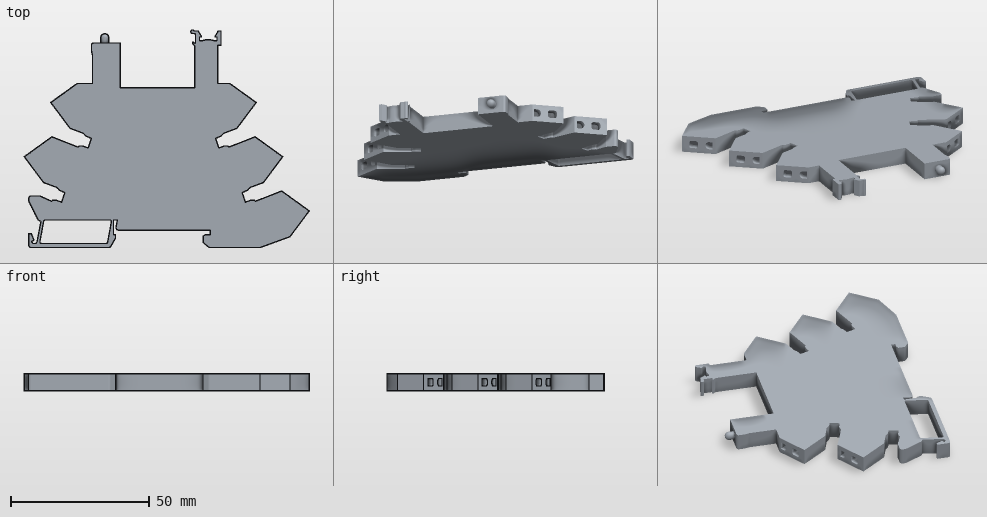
import cadquery as cq
import math

LENGTH = 103.0
THICKNESS = 6.2
MID_Z = THICKNESS / 2

STEP_X = 9.6
STEP_Y = 19.6
LOW_TIP_Y = 13.3
MIDDLE_TIP_X = (LENGTH - STEP_X) / 2
SLOPE_RUN = 10.0
SLOPE_RISE = 7.2
SLOPE_ANGLE = math.atan2(SLOPE_RISE, SLOPE_RUN)
LEFT = -1
RIGHT = 1
ARMS = [(RIGHT, 0), (RIGHT, 1), (RIGHT, 2), (LEFT, 0), (LEFT, 1)]

CHIN = (7.0, -9.4)
SLOT_UNDER_ARM = [
    CHIN,
    (11.7, -11.1),
    (12.8, -12.2),
    (14.6, -13.0),
    (13.5, -16.4),
    (11.5, -15.7),
    (10.3, -15.7),
    (9.9, -16.1),
]

SHOULDER_Y = 59.3
RECESS_Y = 57.8
LEFT_POST_X = (-22.0, -11.9)
LEFT_POST_TOP = 74.0
BULGE = 0.4
BULGE_BOTTOM = 69.4
BULGE_FLAT_BOTTOM = 71.9
POST_CORNER_RADIUS = 0.8
RIGHT_POST_X = (14.8, 23.3)
RIGHT_POST_TOP = 73.0

PIN_X = -17.6
PIN_DIAMETER = 3.0
PIN_LENGTH = 1.9

CLIP_X = 19.8
CLIP_HALF_WIDTH = 4.6
CLIP_TOP = 78.3
CLIP_FLOOR_Y = 74.8
CLIP_FLOOR_HALF = 3.1
LIP_HALF = 2.5
LIP_Y = (76.0, 76.4)
MOUTH_HALF = 3.6
CROWN_HALF = 2.1
CROWN_Y = 75.2
BEAD_DIAMETER = 1.3
BEAD_X = CLIP_X - 5.7
BEAD_Y = 77.4 + BEAD_DIAMETER / 2
BEAD_ARM_THICKNESS = 0.9
BEAD_ARM_RADIUS = 0.5
BARB = [(15.3, 73.7), (14.1, 74.4), (14.1, 73.7), (14.8, 72.9), (15.3, 72.9)]

RAIL_Y = 6.3
FRAME_TOP = 10.0
FLOOR_THICKNESS = 1.5
FOOT_LEFT = -45.1
WING_TOP = 18.7
WING_RADIUS = 1.0
FOOT_RADIUS = 1.0
FOOT_CORNER = (FOOT_LEFT, 0)
TOE_CORNER = (-15.7, 0)
HOOK_CORNER = (20.1, 0)
RAIL_CORNER = (-13.8, RAIL_Y)
WINDOW_RADIUS = 0.5

OPENING_HEIGHT = 2.8
OPENING_DEPTH = 3.1
WIRE_START = 2.6
WIRE_LENGTH = 3.3
WIRE_CORNER_RADIUS = 0.8
SCREW_START = 8.5
SCREW_LENGTH = 2.7


def tip(side, row):
    """Tip of an arm; row 0 is the top row."""
    x = MIDDLE_TIP_X + (row - 1) * STEP_X
    return side * x, LOW_TIP_Y + (2 - row) * STEP_Y


def from_tip(side, row, offset):
    x, y = tip(side, row)
    return x - side * offset[0], y + offset[1]


def slot_below(side, row):
    return [from_tip(side, row, offset) for offset in SLOT_UNDER_ARM]


def peak(side, row):
    return from_tip(side, row, (SLOPE_RUN, SLOPE_RISE))


def shoulder(side):
    rise = SHOULDER_Y - tip(side, 0)[1]
    return from_tip(side, 0, (rise * SLOPE_RUN / SLOPE_RISE, rise))


def plate(outline):
    return outline.close().extrude(THICKNESS)


def polygon(points):
    return plate(cq.Workplane("XY").polyline(points))


def round_corners(solid, corners, radius):
    """Round the upright edges that stand on the given XY points."""
    for x, y in corners:
        solid = solid.edges(cq.selectors.NearestToPointSelector((x, y, MID_Z))).fillet(radius)
    return solid


def make_body():
    right_edge = [
        shoulder(RIGHT),
        tip(RIGHT, 0),
        *slot_below(RIGHT, 0),
        peak(RIGHT, 1),
        tip(RIGHT, 1),
        *slot_below(RIGHT, 1),
        peak(RIGHT, 2),
        tip(RIGHT, 2),
        from_tip(RIGHT, 2, CHIN),
    ]
    rail_edge = [
        (38.5, 0),
        HOOK_CORNER,
        (17.9, 1.9),
        (17.9, 4.2),
        (18.8, 4.7),
        (20.5, 4.7),
        (20.5, RAIL_Y),
        RAIL_CORNER,
        (-13.1, FRAME_TOP),
    ]
    wing_edge = [(-41.7, FRAME_TOP), (FOOT_LEFT, 16.8), (FOOT_LEFT, WING_TOP - WING_RADIUS)]
    left_edge = [
        (-41.1, WING_TOP),
        *reversed(slot_below(LEFT, 1)),
        tip(LEFT, 1),
        peak(LEFT, 1),
        *reversed(slot_below(LEFT, 0)),
        tip(LEFT, 0),
        shoulder(LEFT),
    ]
    top_edge = [
        (LEFT_POST_X[0], SHOULDER_Y),
        (LEFT_POST_X[0], RECESS_Y),
        (RIGHT_POST_X[1], RECESS_Y),
        (RIGHT_POST_X[1], SHOULDER_Y),
    ]
    outline = (
        cq.Workplane("XY")
        .polyline(right_edge + rail_edge + wing_edge)
        .tangentArcPoint((FOOT_LEFT + WING_RADIUS, WING_TOP), relative=False)
        .polyline(left_edge + top_edge, includeCurrent=True)
    )
    return round_corners(plate(outline), [HOOK_CORNER, RAIL_CORNER], FOOT_RADIUS)


def make_left_post():
    inner_x = LEFT_POST_X[1]
    left_x = LEFT_POST_X[0]
    bulge_x = left_x - BULGE
    outline = (
        cq.Workplane("XY")
        .moveTo(left_x, RECESS_Y)
        .lineTo(inner_x, RECESS_Y)
        .lineTo(inner_x, LEFT_POST_TOP)
        .lineTo(bulge_x + POST_CORNER_RADIUS, LEFT_POST_TOP)
        .tangentArcPoint((bulge_x, LEFT_POST_TOP - POST_CORNER_RADIUS), relative=False)
        .lineTo(bulge_x, BULGE_FLAT_BOTTOM)
        .tangentArcPoint((left_x, BULGE_BOTTOM), relative=False)
    )
    return plate(outline)


def make_pin():
    """Pin with a hemispherical end, rooted inside the post."""
    radius = PIN_DIAMETER / 2
    root_y = LEFT_POST_TOP - radius
    dome_y = LEFT_POST_TOP + PIN_LENGTH
    profile = (
        cq.Workplane("XY", origin=(PIN_X, 0, MID_Z))
        .moveTo(0, root_y)
        .lineTo(-radius, root_y)
        .lineTo(-radius, dome_y)
        .radiusArc((0, dome_y + radius), radius)
        .close()
    )
    return profile.revolve(360, (0, 0), (0, 1))


def make_right_post():
    left_x, right_x = RIGHT_POST_X
    height = RIGHT_POST_TOP - RECESS_Y
    base = cq.Workplane("XY", origin=(left_x, RECESS_Y, 0))
    return base.box(right_x - left_x, height, THICKNESS, centered=False)


def make_clip():
    def jaw(side):
        offsets = [
            (CROWN_HALF, CLIP_FLOOR_Y),
            (CLIP_FLOOR_HALF, CLIP_FLOOR_Y),
            (CLIP_FLOOR_HALF, LIP_Y[0]),
            (LIP_HALF, LIP_Y[0]),
            (LIP_HALF, LIP_Y[1]),
            (MOUTH_HALF, CLIP_TOP),
            (CLIP_HALF_WIDTH, CLIP_TOP),
            (CLIP_HALF_WIDTH, RIGHT_POST_TOP),
        ]
        return [(CLIP_X + side * x, y) for x, y in offsets]

    outline = (
        cq.Workplane("XY")
        .polyline(list(reversed(jaw(LEFT))))
        .threePointArc((CLIP_X, CROWN_Y), (CLIP_X + CROWN_HALF, CLIP_FLOOR_Y))
        .polyline(jaw(RIGHT)[1:], includeCurrent=True)
    )
    bead = cq.Workplane("XY").center(BEAD_X, BEAD_Y).circle(BEAD_DIAMETER / 2).extrude(THICKNESS)
    arm_length = CLIP_X - CLIP_HALF_WIDTH - BEAD_X
    arm_base = cq.Workplane("XY", origin=(BEAD_X, CLIP_TOP - BEAD_ARM_THICKNESS, 0))
    bead_arm = arm_base.box(arm_length, BEAD_ARM_THICKNESS, THICKNESS, centered=False)
    barb = polygon(BARB)
    clip = plate(outline).union(bead_arm)
    inner_corner = (CLIP_X - CLIP_HALF_WIDTH, CLIP_TOP - BEAD_ARM_THICKNESS)
    clip = round_corners(clip, [inner_corner], BEAD_ARM_RADIUS)
    return clip.union(bead).union(barb)


def make_foot():
    """Hollow latch frame hanging under the left half of the body."""
    frame = polygon([
        (-41.7, FRAME_TOP),
        (-40.7, 9.5),
        (-42.1, 2.1),
        (-42.5, FLOOR_THICKNESS),
        (-43.6, FLOOR_THICKNESS),
        (-44.0, 2.2),
        (-43.2, 2.8),
        (-44.1, 5.0),
        (FOOT_LEFT, 5.0),
        FOOT_CORNER,
        TOE_CORNER,
        (-13.7, 3.4),
        (-13.7, 4.7),
        (-14.4, 4.7),
        (-14.4, FRAME_TOP),
    ])
    frame = round_corners(frame, [FOOT_CORNER, TOE_CORNER], FOOT_RADIUS)
    window_corners = [
        (-39.6, FRAME_TOP),
        (-41.1, FLOOR_THICKNESS),
        (-16.7, FLOOR_THICKNESS),
        (-15.1, FRAME_TOP),
    ]
    window = round_corners(polygon(window_corners), window_corners, WINDOW_RADIUS)
    return frame.cut(window)


def terminal_openings(side, row):
    """Wire and screw pockets cut square into the sloped upper face of an arm."""
    x, y = tip(side, row)
    face = cq.Plane(
        origin=(x, y, MID_Z),
        xDir=(-side * math.cos(SLOPE_ANGLE), math.sin(SLOPE_ANGLE), 0),
        normal=(side * math.sin(SLOPE_ANGLE), math.cos(SLOPE_ANGLE), 0),
    )
    wire_shape = cq.Sketch().rect(WIRE_LENGTH, OPENING_HEIGHT).vertices().fillet(WIRE_CORNER_RADIUS)
    wire = (
        cq.Workplane(face)
        .center(WIRE_START + WIRE_LENGTH / 2, 0)
        .placeSketch(wire_shape)
        .extrude(-OPENING_DEPTH)
    )
    half_height = OPENING_HEIGHT / 2
    arc_end = SCREW_START + half_height
    flat_end = SCREW_START + SCREW_LENGTH
    screw = (
        cq.Workplane(face)
        .moveTo(arc_end, -half_height)
        .threePointArc((SCREW_START, 0), (arc_end, half_height))
        .lineTo(flat_end, half_height)
        .lineTo(flat_end, -half_height)
        .close()
        .extrude(-OPENING_DEPTH)
    )
    return wire.union(screw)


result = make_body()
for attachment in (make_left_post(), make_pin(), make_right_post(), make_clip(), make_foot()):
    result = result.union(attachment)
for arm_side, arm_row in ARMS:
    result = result.cut(terminal_openings(arm_side, arm_row))